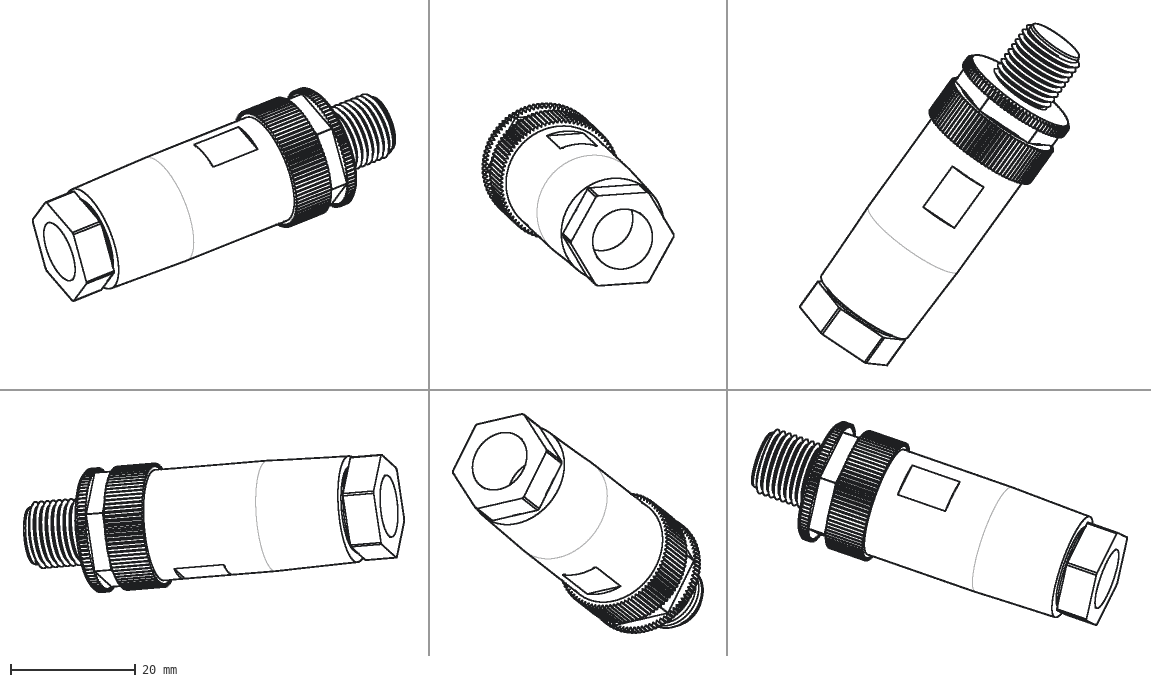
import cadquery as cq
import math

length = 60.0

nut_end = 5.15
neck_end = 6.0
taper_end = 19.75
grip_start = 38.5
grip_end = 44.95
collar_start = 45.25
flange_start = 48.0
flange_end = 49.85

nut_flats = 15.0
nut_corner_diameter = 17.1
bore_diameter = 9.95
bore_depth = 12.0

neck_radius = 6.85
neck_ridge_radius = 7.2

sleeve_radius = 8.95
sleeve_tail_radius = 8.6
flat_height = 8.4
flat_start = 26.9
flat_length = 8.3

knurl_diameter = 20.0
groove_bottom_radius = 9.5
tooth_count = 87
tooth_tip_share = 0.2
grip_chamfer = 0.2
flange_chamfer = 0.6
envelope_margin = 0.6

collar_flats = 16.5
collar_corner_diameter = 19.0
collar_neck_radius = 8.1

thread_core_radius = 4.7
thread_crest_radius = 5.4
thread_pitch = length / 60
thread_crest_end = 59.0
thread_end = 59.1
thread_angle = 60.0
thread_overlap = 0.05
plug_chamfer_depth = 0.2
plug_chamfer_length = 0.35


def plane_at(y):
    """Workplane across the axis, facing +Y, with local Y along +Z."""
    return cq.Workplane(cq.Plane(origin=(0, y, 0), xDir=(-1, 0, 0), normal=(0, 1, 0)))


def disc(y_start, y_end, radius):
    return plane_at(y_start).circle(radius).extrude(y_end - y_start)


def revolved(profile):
    return profile.close().revolve(360, (0, 0, 0), (0, 1, 0))


def hexagon(y_start, y_end, flats, corner_diameter):
    """Hexagonal prism with corners on +X and -X, trimmed by a cylinder."""
    prism = plane_at(y_start).polygon(6, flats / math.cos(math.pi / 6)).extrude(y_end - y_start)
    return prism.intersect(disc(y_start, y_end, corner_diameter / 2))


def knurled_disc(y_start, y_end, chamfer):
    """Toothed disc with V grooves, one tooth centred on +Z, chamfered on its +Y face."""
    tip_radius = knurl_diameter / 2
    tooth_angle = 2 * math.pi / tooth_count
    outline = []
    for tooth in range(tooth_count):
        for radius, offset in (
            (tip_radius, -tooth_tip_share / 2),
            (tip_radius, tooth_tip_share / 2),
            (groove_bottom_radius, 0.5),
        ):
            angle = (tooth + offset) * tooth_angle
            outline.append((radius * math.sin(angle), radius * math.cos(angle)))
    toothed = plane_at(y_start).polyline(outline).close().extrude(y_end - y_start)
    envelope = disc(y_start, y_end, tip_radius + envelope_margin)
    envelope = envelope.faces(">Y").chamfer(chamfer + envelope_margin)
    return toothed.intersect(envelope)


def sleeve():
    """Cylinder tapering towards the cable end, with a flat on +Z and on -Z."""
    body = revolved(
        cq.Workplane("XY")
        .moveTo(0, neck_end)
        .lineTo(sleeve_tail_radius, neck_end)
        .lineTo(sleeve_radius, taper_end)
        .lineTo(sleeve_radius, grip_start)
        .lineTo(0, grip_start)
    )
    cut_depth = sleeve_radius - flat_height
    for side in (1, -1):
        cutter = cq.Workplane("XY").box(2 * sleeve_radius, flat_length, cut_depth)
        cut_centre = (0, flat_start + flat_length / 2, side * (flat_height + cut_depth / 2))
        body = body.cut(cutter.translate(cut_centre))
    return body


def sealing_neck():
    return revolved(
        cq.Workplane("XY")
        .moveTo(0, nut_end)
        .lineTo(neck_radius, nut_end)
        .lineTo(neck_ridge_radius, (nut_end + neck_end) / 2)
        .lineTo(neck_radius, neck_end)
        .lineTo(0, neck_end)
    )


def plug():
    """Plug core with a right-handed V thread, cut off square at both ends."""
    core = disc(flange_end, length, thread_core_radius)
    core = core.faces(">Y").chamfer(plug_chamfer_length, plug_chamfer_depth)
    root_radius = thread_core_radius - thread_overlap
    half_root = (thread_crest_radius - root_radius) * math.tan(math.radians(thread_angle / 2))
    turns = math.ceil((thread_crest_end - flange_end) / thread_pitch) + 1
    thread_length = turns * thread_pitch
    path = cq.Wire.makeHelix(thread_pitch, thread_length, root_radius)
    ridge = (
        cq.Workplane("XZ")
        .moveTo(root_radius, -half_root)
        .lineTo(thread_crest_radius, 0)
        .lineTo(root_radius, half_root)
        .close()
        .sweep(path, isFrenet=True)
    )
    ridge = ridge.rotate((0, 0, 0), (1, 0, 0), -90).rotate((0, 0, 0), (0, 1, 0), -90)
    ridge = ridge.translate((0, thread_crest_end + thread_pitch - thread_length, 0))
    return core.union(ridge.intersect(disc(flange_end, thread_end, sleeve_radius)))


result = (
    hexagon(0, nut_end, nut_flats, nut_corner_diameter)
    .union(sealing_neck())
    .union(sleeve())
    .cut(disc(0, bore_depth, bore_diameter / 2))
    .union(disc(grip_start, flange_end, collar_neck_radius))
    .union(hexagon(collar_start, flange_start, collar_flats, collar_corner_diameter))
    .union(knurled_disc(grip_start, grip_end, grip_chamfer))
    .union(knurled_disc(flange_start, flange_end, flange_chamfer))
    .union(plug())
)